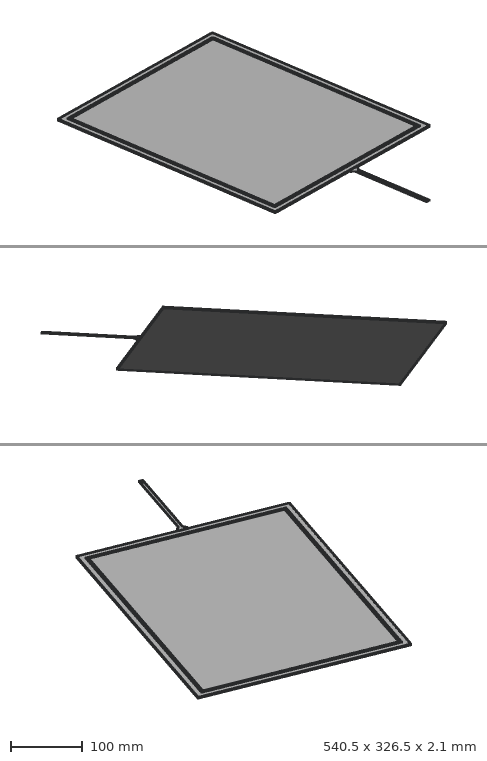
import cadquery as cq

panel_length = 401.0
panel_width = 326.5
panel_thickness = 2.1
total_length = 540.5

groove_margin_x = 9.0
groove_margin_y = 10.0
groove_width = 3.0
groove_depth = 0.25

cable_thickness = 0.5
cable_top = 1.9
cable_overlap = 5.5
neck_width = 15.0
neck_straight = 4.0
neck_length = 8.5
tail_width = 6.0

contact_count = 4
contact_length = 3.0
contact_width = 0.65
contact_pitch = 1.3
contact_tip_gap = 2.5
contact_depth = 0.15

center_x = panel_length / 2
center_y = panel_width / 2


def panel_block(margin_x, margin_y, bottom, height):
    """Rectangular block inset from the panel edges."""
    return (
        cq.Workplane("XY", origin=(center_x, center_y, bottom))
        .rect(panel_length - 2 * margin_x, panel_width - 2 * margin_y)
        .extrude(height)
    )


def grooved_panel():
    """Panel with a rectangular groove in its top face."""
    floor = panel_thickness - groove_depth
    groove = panel_block(groove_margin_x, groove_margin_y, floor, groove_depth).cut(
        panel_block(groove_margin_x + groove_width, groove_margin_y + groove_width, floor, groove_depth)
    )
    return panel_block(0, 0, 0, panel_thickness).cut(groove)


def cable():
    """Neck tapering to the tail, its root embedded in the panel."""
    half_neck = neck_width / 2
    half_tail = tail_width / 2
    upper_edge = [
        (-cable_overlap, half_neck),
        (neck_straight, half_neck),
        (neck_length, half_tail),
        (total_length - panel_length, half_tail),
    ]
    lower_edge = [(x, -y) for x, y in reversed(upper_edge)]
    return (
        cq.Workplane("XY", origin=(panel_length, center_y, cable_top - cable_thickness))
        .polyline(upper_edge + lower_edge)
        .close()
        .extrude(cable_thickness)
    )


def contacts():
    """Row of contact recesses across the tail."""
    contact_x = total_length - contact_tip_gap - contact_length / 2
    return (
        cq.Workplane("XY", origin=(contact_x, center_y, cable_top - contact_depth))
        .rarray(5.5, contact_pitch, 1, contact_count)
        .rect(contact_length, contact_width)
        .extrude(contact_depth)
    )


result = grooved_panel().union(cable()).cut(contacts())